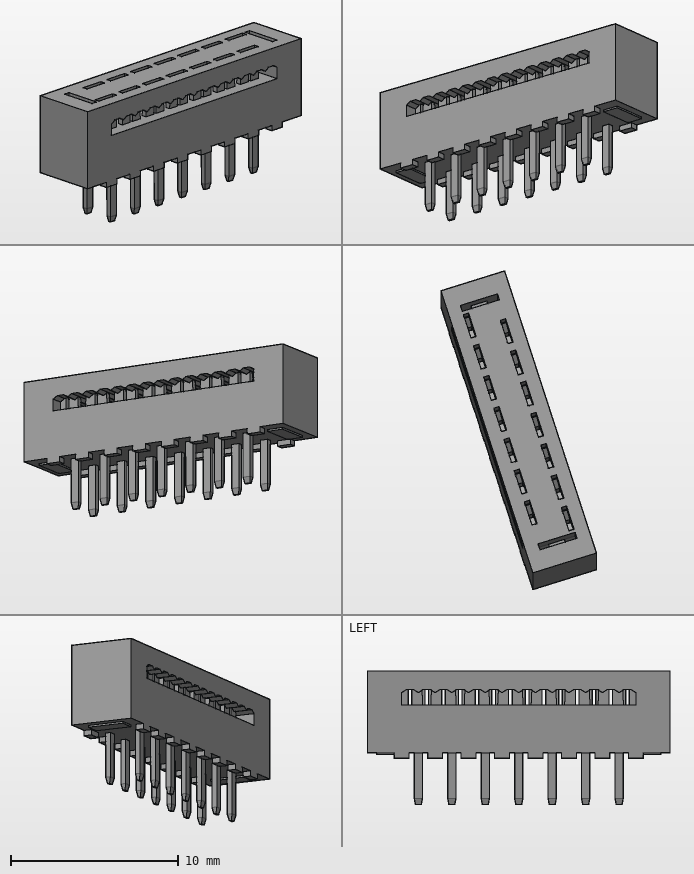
import cadquery as cq


body_width = 4.0
body_length = 18.1
body_height = 4.9

wire_count = 14
passage_length = 14.01
wire_pitch = passage_length / wire_count
contact_pitch = 2 * wire_pitch
contacts_per_row = wire_count // 2
row_x = wire_pitch
pin_shift = wire_pitch / 2

passage_floor = body_height - 2.03
passage_top = body_height - 1.12
arch_rise = 0.18
arch_flat_length = 0.43

metal_thickness = 0.33
fork_base_length = 1.52
fork_tip_length = 1.4
fork_gap = 0.2
fork_tip_z = body_height - 0.72
fork_throat_z = passage_top + 0.05
tine_tip_width = 0.05
cavity_length = 1.48

pin_width = 0.5
pin_bottom = -3.1
pin_taper_height = 0.38
pin_end_width = 0.36
pin_end_thickness = 0.15

latch_width = 2 * row_x + metal_thickness
latch_inner_y = 7.45
latch_window_length = 0.38
latch_window_floor = body_height - 1.09
latch_tongue_width = 1.0
latch_ramp_drop = 1.63
latch_foot_length = 1.05
latch_foot_height = 0.1

foot_count_per_side = 8
foot_depth = 0.5
foot_length = 0.9
foot_height = 0.33


def block(size_x, size_y, z_bottom, z_top, x=0, y=0):
    """Upright box centred on (x, y) between two heights."""
    return (
        cq.Workplane("XY", origin=(x, y, z_bottom))
        .rect(size_x, size_y)
        .extrude(z_top - z_bottom)
    )


def centred_positions(count, pitch):
    return [(i - (count - 1) / 2) * pitch for i in range(count)]


def cable_passage():
    """Through passage with one flat-topped arch above each wire."""
    valley_z = passage_top - arch_rise
    start_y = -passage_length / 2
    profile = cq.Workplane("YZ").moveTo(start_y, passage_floor).lineTo(start_y, valley_z)
    for wire_y in centred_positions(wire_count, wire_pitch):
        profile = profile.lineTo(wire_y - arch_flat_length / 2, passage_top)
        profile = profile.lineTo(wire_y + arch_flat_length / 2, passage_top)
        profile = profile.lineTo(wire_y + wire_pitch / 2, valley_z)
    profile = profile.lineTo(-start_y, passage_floor).close()
    return profile.extrude(body_width / 2, both=True)


def tine(x, y, side):
    """One tine of a fork: it flanks the wire gap and slopes down to it from the tip."""
    half_base = fork_base_length / 2
    half_tip = fork_tip_length / 2
    half_gap = fork_gap / 2
    outline = [
        (side * half_gap, passage_floor),
        (side * half_base, passage_floor),
        (side * half_tip, fork_tip_z),
        (side * (half_tip - tine_tip_width), fork_tip_z),
        (side * half_gap, fork_throat_z),
    ]
    plate = cq.Workplane("YZ").polyline(outline).close().extrude(metal_thickness / 2, both=True)
    return plate.translate((x, y, 0))


def pin(x, y):
    """Straight solder pin with a tapered end."""
    taper_top = pin_bottom + pin_taper_height
    shaft = block(metal_thickness, pin_width, taper_top, 0, x, y)
    taper = (
        cq.Workplane("XY", origin=(x, y, taper_top))
        .rect(metal_thickness, pin_width)
        .workplane(offset=-pin_taper_height)
        .rect(pin_end_thickness, pin_end_width)
        .loft(ruled=True)
    )
    return shaft.union(taper)


def latch_window(end):
    """Slot in the top face; its floor is flat in the middle and ramps down outward at both sides."""
    outer_y = latch_inner_y + latch_window_length
    window = block(
        latch_width,
        latch_window_length,
        latch_window_floor,
        body_height,
        y=end * (latch_inner_y + latch_window_length / 2),
    )
    ramp_outline = [
        (end * latch_inner_y, latch_window_floor),
        (end * outer_y, latch_window_floor),
        (end * outer_y, latch_window_floor - latch_ramp_drop),
    ]
    ramps = cq.Workplane("YZ").polyline(ramp_outline).close().extrude(latch_width / 2, both=True)
    tongue = block(latch_tongue_width, body_length, 0, latch_window_floor)
    return window.union(ramps.cut(tongue))


def latch_foot(end):
    """Thin pad under the housing at one end."""
    middle_y = end * (latch_inner_y + latch_foot_length / 2)
    return block(latch_width, latch_foot_length, -latch_foot_height, 0, y=middle_y)


contacts = [
    (row_side, row_side * row_x, y - row_side * wire_pitch / 2)
    for row_side in (-1, 1)
    for y in centred_positions(contacts_per_row, contact_pitch)
]

result = block(body_width, body_length, 0, body_height).cut(cable_passage())

for _, x, y in contacts:
    result = result.cut(block(metal_thickness, cavity_length, passage_floor, body_height, x, y))

for row_side, x, y in contacts:
    for tine_side in (-1, 1):
        result = result.union(tine(x, y, tine_side))
    result = result.union(pin(x, y + row_side * pin_shift))

for end in (-1, 1):
    result = result.cut(latch_window(end)).union(latch_foot(end))

foot_x = (body_width - foot_depth) / 2
for x in (-foot_x, foot_x):
    for y in centred_positions(foot_count_per_side, contact_pitch):
        result = result.union(block(foot_depth, foot_length, -foot_height, 0, x, y))